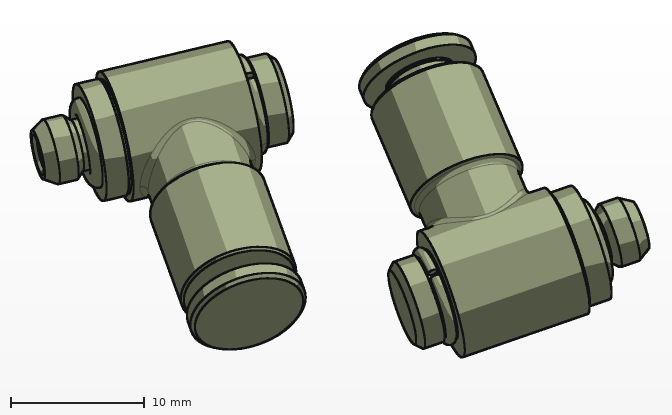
import cadquery as cq


housing_radius = 5.0
housing_half_length = 5.0

rear_radius = 3.45
rear_end = 8.1
rear_chamfer = 0.52
shoulder_radius = 3.56
shoulder_length = 0.1
groove_end = 6.02

wire_radius = 0.4
ring_outer_radius = 3.85
ring_center = 5.5
ring_center_radius = ring_outer_radius - wire_radius
groove_radius = ring_center_radius - wire_radius
ring_gap = 0.47
ring_gap_offset = 0.12

flange_radius = 4.5
flange_neck_radius = 4.41
flange_start = 5.22
flange_end = 6.96
bead_outer_radius = 3.47
bead_end = 7.7
nose_neck_radius = 1.98
bead_crest_radius = (bead_outer_radius + nose_neck_radius) / 2
nose_neck_end = 7.98
nose_radius = 2.5
nose_cone_end = 8.55
nose_taper_start = 10.0
nose_end = 11.0
nose_end_radius = 1.89

bore_radius = 1.25
bore_mouth_radius = 1.55
bore_depth = 3.3
bore_mouth_depth = bore_mouth_radius - bore_radius
bore_cone_depth = 0.75

arm_radius = 4.01
arm_blend_radius = 0.5
arm_step_start = 7.08
sleeve_start = 7.65
sleeve_radius = 4.5
step_blend_length = 0.42
step_blend_rise = 0.21
sleeve_chamfer = 0.2
sleeve_end = 15.8 + sleeve_chamfer
end_cone_outer_radius = 4.32
end_cone_radius = 2.71
end_cone_end = 16.2
collar_neck_radius = 2.65
collar_lip_start = 17.2
collar_start = 17.4
collar_radius = 4.5
collar_chamfer = 0.28
collar_end = 23.6 - housing_radius


def revolve_about_y(profile):
    """Turn a closed (radius, y) profile about the stem axis."""
    return profile.close().revolve(360, (0, 0, 0), (0, 1, 0))


def make_housing():
    return revolve_about_y(
        cq.Workplane("XY")
        .moveTo(0, -housing_half_length)
        .lineTo(housing_radius, -housing_half_length)
        .lineTo(housing_radius, housing_half_length)
        .lineTo(0, housing_half_length)
    )


def make_arm():
    """Turned arm profile: waist, sleeve, end cone and release collar."""
    return (
        cq.Workplane("XY")
        .moveTo(0, 0)
        .lineTo(0, arm_radius)
        .lineTo(arm_step_start, arm_radius)
        .tangentArcPoint((step_blend_length, step_blend_rise))
        .lineTo(sleeve_start, sleeve_radius)
        .lineTo(sleeve_end - sleeve_chamfer, sleeve_radius)
        .lineTo(sleeve_end, end_cone_outer_radius)
        .lineTo(end_cone_end, end_cone_radius)
        .lineTo(end_cone_end, collar_neck_radius)
        .lineTo(collar_lip_start, collar_neck_radius)
        .lineTo(collar_lip_start, end_cone_radius)
        .lineTo(collar_start, end_cone_radius)
        .lineTo(collar_start, collar_radius)
        .lineTo(collar_end - collar_chamfer, collar_radius)
        .lineTo(collar_end, collar_radius - collar_chamfer)
        .lineTo(collar_end, 0)
        .close()
        .revolve(360, (0, 0, 0), (1, 0, 0))
    )


def make_elbow():
    """Housing and arm joined with a blend along their intersection curve."""
    elbow = make_housing().union(make_arm())
    junction_zone = cq.selectors.BoxSelector(
        (0, -housing_half_length, -housing_radius),
        (arm_step_start, housing_half_length, housing_radius),
        boundingbox=True,
    )
    junction = elbow.edges(junction_zone).edges("not %LINE").edges("not %CIRCLE")
    return junction.fillet(arm_blend_radius)


def make_rear_end():
    return revolve_about_y(
        cq.Workplane("XY")
        .moveTo(0, 0)
        .lineTo(shoulder_radius, 0)
        .lineTo(shoulder_radius, housing_half_length + shoulder_length)
        .lineTo(groove_radius, housing_half_length + shoulder_length)
        .lineTo(groove_radius, groove_end)
        .lineTo(rear_radius, groove_end)
        .lineTo(rear_radius, rear_end - rear_chamfer)
        .lineTo(rear_radius - rear_chamfer, rear_end)
        .lineTo(0, rear_end)
    )


def make_nose():
    return revolve_about_y(
        cq.Workplane("XY")
        .moveTo(0, 0)
        .lineTo(flange_neck_radius, 0)
        .lineTo(flange_neck_radius, -flange_start)
        .lineTo(flange_radius, -flange_start)
        .lineTo(flange_radius, -flange_end)
        .lineTo(bead_outer_radius, -flange_end)
        .threePointArc((bead_crest_radius, -bead_end), (nose_neck_radius, -flange_end))
        .lineTo(nose_neck_radius, -nose_neck_end)
        .lineTo(nose_radius, -nose_cone_end)
        .lineTo(nose_radius, -nose_taper_start)
        .lineTo(nose_end_radius, -nose_end)
        .lineTo(0, -nose_end)
    )


def make_bore():
    """Chamfered blind bore with a conical bottom."""
    return revolve_about_y(
        cq.Workplane("XY")
        .moveTo(0, -nose_end)
        .lineTo(bore_mouth_radius, -nose_end)
        .lineTo(bore_radius, -nose_end + bore_mouth_depth)
        .lineTo(bore_radius, -nose_end + bore_depth)
        .lineTo(0, -nose_end + bore_depth + bore_cone_depth)
    )


def make_fitting():
    return make_elbow().union(make_rear_end()).union(make_nose()).cut(make_bore())


def make_split_ring():
    """Wire ring in the rear groove, cut through at the top."""
    ring = (
        cq.Workplane("XY")
        .center(ring_center_radius, ring_center)
        .circle(wire_radius)
        .revolve(360, (-ring_center_radius, 0, 0), (-ring_center_radius, 1, 0))
    )
    gap = cq.Workplane("XY").box(
        ring_gap, 2 * wire_radius, ring_outer_radius, centered=(True, True, False)
    )
    return ring.cut(gap.translate((ring_gap_offset, ring_center, 0)))


fitting = make_fitting()
split_ring = make_split_ring()

result = cq.Compound.makeCompound([fitting.val(), split_ring.val()])